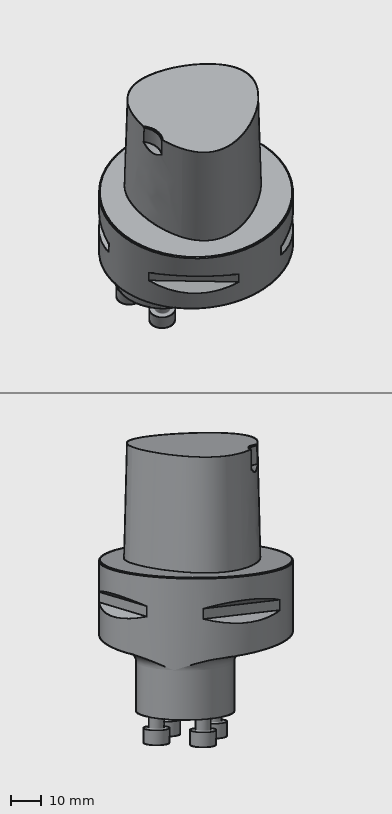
import cadquery as cq
import math

SHANK_HEIGHT = 38.0
SHANK_BASE_RADIUS = 22.0
SHANK_TAPER = 1 / 40
LOBE_OFFSET = 1.6
LOBE_COUNT = 3
POINTS_PER_FACE = 7

NOTCH_RADIUS = 7.1
NOTCH_INNER_Y = -18.0
NOTCH_WALL_HEIGHT = 6.5
NOTCH_TIP_ANGLE = 45
NOTCH_CHAMFER = 0.4

FLANGE_DIAMETER = 63.0
FLANGE_RADIUS = FLANGE_DIAMETER / 2
FLANGE_CHAMFER = 0.4
GROOVE_COUNT = 4
GROOVE_DEPTH_Z = 11.9
GROOVE_FLOOR_RADIUS = 27.9
GROOVE_FLOOR_WIDTH = 3.4
GROOVE_FLANK_ANGLE = 30
GROOVE_OVERSHOOT = 0.9

NECK_DIAMETER = 32.0
NECK_RADIUS = NECK_DIAMETER / 2
NECK_X = NECK_RADIUS - FLANGE_RADIUS
NECK_FILLET = 4.0
UNDERSIDE_ANGLE = 10
UNDERSIDE_TANGENT_Z = -26.8

TOTAL_HEIGHT = 94.6
SCREW_SPACING = 15.5
SCREW_SHAFT_DIAMETER = 5.0
SCREW_HEAD_DIAMETER = 8.5
SCREW_HEAD_HEIGHT = 5.0
SCREW_EXPOSED_LENGTH = 9.6
SCREW_HEAD_FILLET = 0.4
SCREW_NECK_FILLET = 0.3

BOTTOM_Z = SHANK_HEIGHT - TOTAL_HEIGHT
NECK_BOTTOM_Z = BOTTOM_Z + SCREW_EXPOSED_LENGTH


def lobe_point(radius, z, angle):
    """Point on the trochoid outline; angle runs from the lobe on +Y."""
    return cq.Vector(
        radius * math.sin(angle) - LOBE_OFFSET * math.sin(2 * angle),
        radius * math.cos(angle) + LOBE_OFFSET * math.cos(2 * angle),
        z,
    )


def lobe_wire(radius, z):
    """Closed outline of alternating lobes and flanks, one curve for each."""
    face_count = 2 * LOBE_COUNT
    sweep = 2 * math.pi / face_count
    edges = []
    for face in range(face_count):
        start = (face - 0.5) * sweep
        angles = [start + sweep * i / (POINTS_PER_FACE - 1) for i in range(POINTS_PER_FACE)]
        edges.append(cq.Edge.makeSpline([lobe_point(radius, z, a) for a in angles]))
    return cq.Wire.assembleEdges(edges)


def make_shank():
    top_radius = SHANK_BASE_RADIUS - SHANK_HEIGHT * SHANK_TAPER
    wires = [lobe_wire(SHANK_BASE_RADIUS, 0), lobe_wire(top_radius, SHANK_HEIGHT)]
    return cq.Workplane(obj=cq.Solid.makeLoft(wires, True))


def make_notch():
    """Round cutter with a conical tip and a chamfered rim, standing partly outside the shank."""
    tip_height = NOTCH_RADIUS * math.tan(math.radians(NOTCH_TIP_ANGLE))
    cutter = (
        cq.Workplane("XZ")
        .polyline([
            (0, 0),
            (0, -NOTCH_WALL_HEIGHT - tip_height),
            (NOTCH_RADIUS, -NOTCH_WALL_HEIGHT),
            (NOTCH_RADIUS, -NOTCH_CHAMFER),
            (NOTCH_RADIUS + NOTCH_CHAMFER, 0),
        ])
        .close()
        .revolve(360, (0, 0), (0, 1))
    )
    return cutter.translate((0, NOTCH_INNER_Y - NOTCH_RADIUS, SHANK_HEIGHT))


def make_body():
    """Flange, conical underside, fillet and neck, trimmed to the flange diameter."""
    slope = math.radians(UNDERSIDE_ANGLE)
    bend = (math.pi / 2 - slope) / 2
    fillet_center_r = NECK_RADIUS + NECK_FILLET
    fillet_center_z = UNDERSIDE_TANGENT_Z - NECK_FILLET * math.cos(slope)
    tangent_r = fillet_center_r - NECK_FILLET * math.sin(slope)
    middle = (
        fillet_center_r - NECK_FILLET * math.cos(bend),
        fillet_center_z + NECK_FILLET * math.sin(bend),
    )
    rim_r = 2 * FLANGE_RADIUS
    rim_z = UNDERSIDE_TANGENT_Z + (rim_r - tangent_r) * math.tan(slope)
    profile = (
        cq.Workplane("XZ")
        .moveTo(0, 0)
        .lineTo(0, NECK_BOTTOM_Z)
        .lineTo(NECK_RADIUS, NECK_BOTTOM_Z)
        .lineTo(NECK_RADIUS, fillet_center_z)
        .threePointArc(middle, (tangent_r, UNDERSIDE_TANGENT_Z))
        .lineTo(rim_r, rim_z)
        .lineTo(rim_r, 0)
        .close()
    )
    turned = profile.revolve(360, (0, 0), (0, 1)).translate((NECK_X, 0, 0))
    envelope = (
        cq.Workplane("XY")
        .circle(FLANGE_RADIUS)
        .extrude(NECK_BOTTOM_Z)
        .faces(">Z")
        .chamfer(FLANGE_CHAMFER)
    )
    return turned.intersect(envelope)


def make_groove():
    """Trapezoidal bar, open outwards, along the -X side of the flange."""
    outer_r = FLANGE_RADIUS + GROOVE_OVERSHOOT
    half_floor = GROOVE_FLOOR_WIDTH / 2
    flare = (outer_r - GROOVE_FLOOR_RADIUS) * math.tan(math.radians(GROOVE_FLANK_ANGLE))
    bar = (
        cq.Workplane("XZ")
        .polyline([
            (-GROOVE_FLOOR_RADIUS, -half_floor),
            (-GROOVE_FLOOR_RADIUS, half_floor),
            (-outer_r, half_floor + flare),
            (-outer_r, -half_floor - flare),
        ])
        .close()
        .extrude(FLANGE_RADIUS, both=True)
    )
    return bar.translate((0, 0, -GROOVE_DEPTH_Z))


def make_screw():
    """Cap screw turned about Z, standing on its head."""
    head_r = SCREW_HEAD_DIAMETER / 2
    shaft_r = SCREW_SHAFT_DIAMETER / 2
    profile = (
        cq.Workplane("XZ")
        .lineTo(head_r - SCREW_HEAD_FILLET, 0)
        .radiusArc((head_r, SCREW_HEAD_FILLET), -SCREW_HEAD_FILLET)
        .lineTo(head_r, SCREW_HEAD_HEIGHT)
        .lineTo(shaft_r + SCREW_NECK_FILLET, SCREW_HEAD_HEIGHT)
        .radiusArc((shaft_r, SCREW_HEAD_HEIGHT + SCREW_NECK_FILLET), SCREW_NECK_FILLET)
        .lineTo(shaft_r, SCREW_EXPOSED_LENGTH)
        .lineTo(0, SCREW_EXPOSED_LENGTH)
        .close()
    )
    return profile.revolve(360, (0, 0), (0, 1))


result = make_body().union(make_shank()).cut(make_notch())
for i in range(GROOVE_COUNT):
    angle = (i + 0.5) * 360 / GROOVE_COUNT
    result = result.cut(make_groove().rotate((0, 0, 0), (0, 0, 1), angle))
for x_side in (-1, 1):
    for y_side in (-1, 1):
        place = (NECK_X + x_side * SCREW_SPACING / 2, y_side * SCREW_SPACING / 2, BOTTOM_Z)
        result = result.union(make_screw().translate(place))